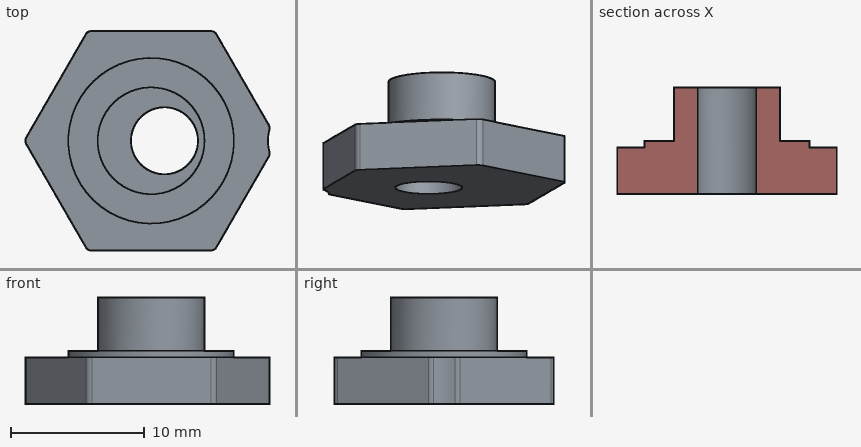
import cadquery as cq
import math

ACROSS_FLATS = 16.45
BASE_HEIGHT = 3.5
CORNER_RADIUS = 0.5

NOTCH_RADIUS = 3.0
NOTCH_FLOOR_X = 8.75

COLLAR_DIAMETER = 12.4
COLLAR_HEIGHT = 0.5
BOSS_DIAMETER = 8.0
BOSS_HEIGHT = 4.0

BORE_DIAMETER = 5.0
BORE_OFFSET_X = 1.0

ACROSS_CORNERS = ACROSS_FLATS * 2 / math.sqrt(3)
TOTAL_HEIGHT = BASE_HEIGHT + COLLAR_HEIGHT + BOSS_HEIGHT


def make_base():
    """Hexagonal plate with a notched +X corner and rounded upright edges."""
    hexagon = cq.Workplane("XY").polygon(6, ACROSS_CORNERS).extrude(BASE_HEIGHT)
    notch = (
        cq.Workplane("XY")
        .center(NOTCH_FLOOR_X + NOTCH_RADIUS, 0)
        .circle(NOTCH_RADIUS)
        .extrude(BASE_HEIGHT)
    )
    return hexagon.cut(notch).edges("|Z").fillet(CORNER_RADIUS)


def add_disc(body, diameter, height):
    """Add a concentric disc on the current top face."""
    return body.faces(">Z").workplane(origin=(0, 0, 0)).circle(diameter / 2).extrude(height)


def cut_bore(body):
    """Cut the off-axis bore through the full height."""
    bore = (
        cq.Workplane("XY")
        .center(BORE_OFFSET_X, 0)
        .circle(BORE_DIAMETER / 2)
        .extrude(TOTAL_HEIGHT)
    )
    return body.cut(bore)


part = make_base()
part = add_disc(part, COLLAR_DIAMETER, COLLAR_HEIGHT)
part = add_disc(part, BOSS_DIAMETER, BOSS_HEIGHT)
result = cut_bore(part)